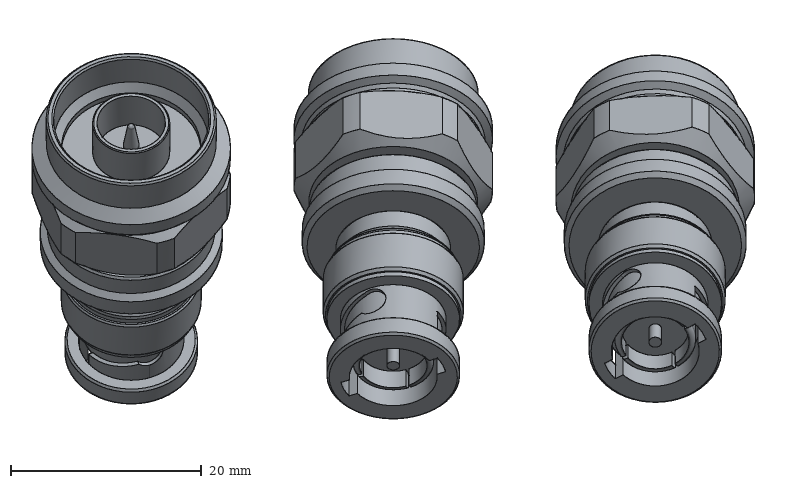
import cadquery as cq
import math

TOP_Z = 39.27
RIM_RADIUS = 8.9
RIM_CHAMFER = 0.2
FLANGE_RADIUS = 10.4
FLANGE_BOTTOM_Z = 32.8
FLANGE_TOP_Z = 34.45
FLANGE_CONE_TOP_Z = 35.35
FLANGE_UNDERSIDE_RADIUS = 9.65
FLANGE_UNDERSIDE_Z = 32.3
HEX_NECK_RADIUS = 9.42
HEX_NECK_TOP_Z = 31.85

HEX_SIDES = 6
HEX_ACROSS_FLATS = 18.93
HEX_CORNER_RADIUS = FLANGE_RADIUS
HEX_BOTTOM_Z = 24.25
HEX_BOTTOM_RADIUS = 8.85
HEX_TOP_Z = 31.45
HEX_UPPER_CORNER_Z = 30.9

BODY_NECK_RADIUS = 6.87
CAP_RADIUS = 8.8
CAP_TOP_Z = 23.4
CAP_CHAMFER = 0.25
CAP_FLANGE_RADIUS = 9.55
CAP_FLANGE_BOTTOM_Z = 18.0
CAP_FLANGE_TOP_Z = 20.5
CAP_CONE_HEIGHT = 0.47
CAP_FLANGE_CHAMFER = 0.5
COLLAR_RADIUS = 6.0
COLLAR_BOTTOM_Z = 15.5
COLLAR_CHAMFER = 0.2
WAIST_RADIUS = 4.4

SLEEVE_RADIUS = 6.95
SLEEVE_BOTTOM_Z = 8.0
SLEEVE_TOP_Z = 15.0
SLEEVE_CHAMFER = 0.35
SLEEVE_TAPER = (0.1, 0.3)
GRIP_RADIUS = 7.35
GRIP_BOTTOM_Z = 8.55
GRIP_TOP_Z = 13.75
GRIP_LOWER_CHAMFER = (0.25, 0.35)
GRIP_CHAMFER = 0.2
SHELL_RADIUS = 5.55
END_RING_TOP_Z = 2.45
END_RING_CHAMFER = 0.25

CAVITY_RADIUS = 8.13
CAVITY_CHAMFER = 0.2
CAVITY_CONE_TOP_Z = 35.3
CAVITY_FLOOR_RADIUS = 7.3
CAVITY_FLOOR_Z = 33.77
INNER_SLEEVE_RADIUS = 4.05
INNER_SLEEVE_BORE_RADIUS = 3.57
INNER_SLEEVE_TOP_Z = 38.55
INNER_SLEEVE_CHAMFER = 0.1
PIN_RADIUS = 0.82
PIN_TIP_RADIUS = 0.35
PIN_TAPER_START_Z = 34.95
PIN_TIP_Z = 38.1
PIN_TIP_FILLET = 0.15

BORE_RADIUS = 4.6
BORE_TOP_Z = 3.85
CONTACT_RADIUS = 4.25
CONTACT_BORE_RADIUS = 3.55
CONTACT_BOTTOM_Z = 1.57
CONTACT_FILLET = 0.6
CONTACT_SLIT_WIDTH = 0.4
CONTACT_PIN_RADIUS = 0.65

SLOT_FLOOR_RADIUS = 5.1
LATCH_RADIUS = 1.6
LATCH_CENTER_Z = 6.15
RAMP_SLOPE = 0.24
RAMP_HEIGHT = 2.47
ENTRY_FAR_X = 0.8
ENTRY_NEAR_X = -1.55


def turned(points):
    """Solid of revolution about Z from (radius, z) points, closed along the axis."""
    bottom_z = points[0][1]
    top_z = points[-1][1]
    outline = [(0, bottom_z)] + points + [(0, top_z)]
    return cq.Workplane("XZ").polyline(outline).close().revolve(360, (0, 0, 0), (0, 1, 0))


def cylinder(radius, bottom_z, top_z):
    return cq.Workplane("XY").workplane(offset=bottom_z).circle(radius).extrude(top_z - bottom_z)


def chamfered_disc(radius, bottom_z, top_z, bottom_chamfer, top_chamfer):
    """Disc with edge chamfers, each given as (radial, axial) sizes or None for a sharp edge."""
    points = [(radius, bottom_z)]
    if bottom_chamfer:
        points = [(radius - bottom_chamfer[0], bottom_z), (radius, bottom_z + bottom_chamfer[1])]
    points.append((radius, top_z - top_chamfer[1]))
    points.append((radius - top_chamfer[0], top_z))
    return turned(points)


def equal_chamfer(size):
    return (size, size)


def coupling_head():
    return turned([
        (HEX_NECK_RADIUS, HEX_TOP_Z),
        (HEX_NECK_RADIUS, HEX_NECK_TOP_Z),
        (FLANGE_UNDERSIDE_RADIUS, FLANGE_UNDERSIDE_Z),
        (FLANGE_RADIUS, FLANGE_BOTTOM_Z),
        (FLANGE_RADIUS, FLANGE_TOP_Z),
        (RIM_RADIUS, FLANGE_CONE_TOP_Z),
        (RIM_RADIUS, TOP_Z - RIM_CHAMFER),
        (RIM_RADIUS - RIM_CHAMFER, TOP_Z),
    ])


def hexagon_grip():
    """Hexagon with two flats facing -Y and +Y, turned down and chamfered at its corners."""
    across_corners = HEX_ACROSS_FLATS / math.cos(math.pi / HEX_SIDES)
    hexagon = (
        cq.Workplane("XY")
        .workplane(offset=HEX_BOTTOM_Z)
        .polygon(HEX_SIDES, across_corners)
        .extrude(HEX_TOP_Z - HEX_BOTTOM_Z)
    )
    bottom_chamfer = HEX_CORNER_RADIUS - HEX_BOTTOM_RADIUS
    envelope = chamfered_disc(
        HEX_CORNER_RADIUS,
        HEX_BOTTOM_Z,
        HEX_TOP_Z,
        equal_chamfer(bottom_chamfer),
        (HEX_CORNER_RADIUS - HEX_NECK_RADIUS, HEX_TOP_Z - HEX_UPPER_CORNER_Z),
    )
    return hexagon.intersect(envelope)


def cap():
    return turned([
        (CAP_FLANGE_RADIUS - CAP_FLANGE_CHAMFER, CAP_FLANGE_BOTTOM_Z),
        (CAP_FLANGE_RADIUS, CAP_FLANGE_BOTTOM_Z + CAP_FLANGE_CHAMFER),
        (CAP_FLANGE_RADIUS, CAP_FLANGE_TOP_Z),
        (CAP_RADIUS, CAP_FLANGE_TOP_Z + CAP_CONE_HEIGHT),
        (CAP_RADIUS, CAP_TOP_Z - CAP_CHAMFER),
        (CAP_RADIUS - CAP_CHAMFER, CAP_TOP_Z),
    ])


def bayonet_sleeve():
    """Sleeve whose top edge has a slight taper below its chamfer."""
    taper_width, taper_height = SLEEVE_TAPER
    tapered_radius = SLEEVE_RADIUS - taper_width
    chamfer_z = SLEEVE_TOP_Z - SLEEVE_CHAMFER
    return turned([
        (SLEEVE_RADIUS, SLEEVE_BOTTOM_Z),
        (SLEEVE_RADIUS, chamfer_z - taper_height),
        (tapered_radius, chamfer_z),
        (tapered_radius - SLEEVE_CHAMFER, SLEEVE_TOP_Z),
    ])


def body():
    collar_chamfer = equal_chamfer(COLLAR_CHAMFER)
    end_chamfer = equal_chamfer(END_RING_CHAMFER)
    collar = chamfered_disc(
        COLLAR_RADIUS, COLLAR_BOTTOM_Z, CAP_FLANGE_BOTTOM_Z, collar_chamfer, collar_chamfer
    )
    grip = chamfered_disc(
        GRIP_RADIUS, GRIP_BOTTOM_Z, GRIP_TOP_Z, GRIP_LOWER_CHAMFER, equal_chamfer(GRIP_CHAMFER)
    )
    end_ring = chamfered_disc(SLEEVE_RADIUS, 0, END_RING_TOP_Z, end_chamfer, end_chamfer)
    return (
        coupling_head()
        .union(hexagon_grip())
        .union(cylinder(BODY_NECK_RADIUS, CAP_TOP_Z, HEX_BOTTOM_Z))
        .union(cap())
        .union(collar)
        .union(cylinder(WAIST_RADIUS, SLEEVE_TOP_Z, COLLAR_BOTTOM_Z))
        .union(bayonet_sleeve())
        .union(grip)
        .union(cylinder(SHELL_RADIUS, END_RING_TOP_Z, SLEEVE_BOTTOM_Z))
        .union(end_ring)
    )


def top_cavity():
    cone_height = CAVITY_RADIUS - CAVITY_FLOOR_RADIUS
    return turned([
        (CAVITY_FLOOR_RADIUS, CAVITY_FLOOR_Z),
        (CAVITY_FLOOR_RADIUS, CAVITY_CONE_TOP_Z - cone_height),
        (CAVITY_RADIUS, CAVITY_CONE_TOP_Z),
        (CAVITY_RADIUS, TOP_Z - CAVITY_CHAMFER),
        (CAVITY_RADIUS + CAVITY_CHAMFER, TOP_Z),
    ])


def inner_sleeve():
    sleeve = chamfered_disc(
        INNER_SLEEVE_RADIUS,
        CAVITY_FLOOR_Z,
        INNER_SLEEVE_TOP_Z,
        None,
        equal_chamfer(INNER_SLEEVE_CHAMFER),
    )
    return sleeve.cut(cylinder(INNER_SLEEVE_BORE_RADIUS, CAVITY_FLOOR_Z, INNER_SLEEVE_TOP_Z))


def centre_pin():
    pin = turned([
        (PIN_RADIUS, CAVITY_FLOOR_Z),
        (PIN_RADIUS, PIN_TAPER_START_Z),
        (PIN_TIP_RADIUS, PIN_TIP_Z),
    ])
    return pin.faces(">Z").edges().fillet(PIN_TIP_FILLET)


def bottom_contact():
    """Tube hanging from the bore's end, slit crosswise into four fingers around a pin."""
    length = BORE_TOP_Z - CONTACT_BOTTOM_Z
    tube = cylinder(CONTACT_RADIUS, CONTACT_BOTTOM_Z, BORE_TOP_Z)
    tube = tube.faces("<Z").edges().fillet(CONTACT_FILLET)
    tube = tube.cut(cylinder(CONTACT_BORE_RADIUS, CONTACT_BOTTOM_Z, BORE_TOP_Z))
    for angle in (0, 90):
        slit = (
            cq.Workplane("XY")
            .workplane(offset=CONTACT_BOTTOM_Z)
            .transformed(rotate=(0, 0, angle))
            .rect(2 * SHELL_RADIUS, CONTACT_SLIT_WIDTH)
            .extrude(length)
        )
        tube = tube.cut(slit)
    return tube.union(cylinder(CONTACT_PIN_RADIUS, CONTACT_BOTTOM_Z, BORE_TOP_Z))


def bayonet_slot():
    """Groove from the round latch at -X down a ramp to the entry at +Y."""
    latch_top_z = LATCH_CENTER_Z + LATCH_RADIUS
    drop = RAMP_SLOPE * SHELL_RADIUS
    latch = (
        cq.Workplane("YZ")
        .workplane(offset=-SHELL_RADIUS)
        .center(0, LATCH_CENTER_Z)
        .circle(LATCH_RADIUS)
        .extrude(SHELL_RADIUS)
    )
    ramp = (
        cq.Workplane("YZ")
        .workplane(offset=-SHELL_RADIUS)
        .polyline([
            (0, latch_top_z),
            (SHELL_RADIUS, latch_top_z - drop),
            (SHELL_RADIUS, latch_top_z - drop - RAMP_HEIGHT),
            (0, latch_top_z - RAMP_HEIGHT),
        ])
        .close()
        .extrude(SHELL_RADIUS + ENTRY_FAR_X)
    )
    entry = (
        cq.Workplane("XY")
        .box(ENTRY_FAR_X - ENTRY_NEAR_X, SHELL_RADIUS, LATCH_CENTER_Z - LATCH_RADIUS, centered=False)
        .translate((ENTRY_NEAR_X, 0, 0))
    )
    slot_depth = (
        cylinder(SHELL_RADIUS, 0, SLEEVE_BOTTOM_Z)
        .cut(cylinder(CONTACT_RADIUS, 0, BORE_TOP_Z))
        .cut(cylinder(SLOT_FLOOR_RADIUS, BORE_TOP_Z, SLEEVE_BOTTOM_Z))
    )
    return latch.union(ramp).union(entry).intersect(slot_depth)


result = body()
result = result.cut(top_cavity()).union(inner_sleeve()).union(centre_pin())
result = result.cut(cylinder(BORE_RADIUS, 0, BORE_TOP_Z)).union(bottom_contact())
for turn in (0, 180):
    result = result.cut(bayonet_slot().rotate((0, 0, 0), (0, 0, 1), turn))